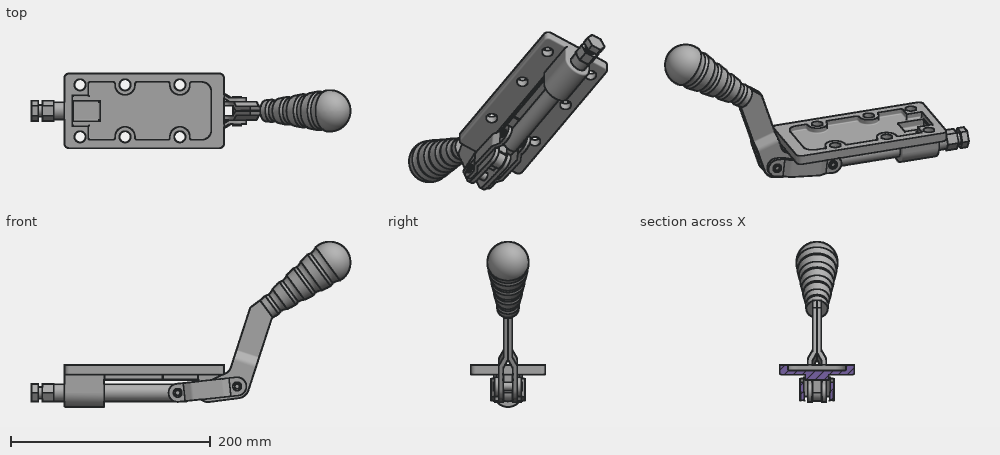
import cadquery as cq
import math


SELECT_MARGIN = 0.1

PLATE_LENGTH = 160.0
PLATE_WIDTH = 75.0
PLATE_THICKNESS = 10.0
PLATE_TOP = 28.0
PLATE_BOTTOM = PLATE_TOP - PLATE_THICKNESS
PLATE_CORNER = 5.0
BODY_ROUND = 1.8

HOLE_DIAMETER = 11.0
HOLE_XS = (15.8, 60.8, 115.7)
HOLE_Y = 26.0

POCKET_DEPTH = 5.6
POCKET_START = 24.0
POCKET_END = 147.2
POCKET_HALF_WIDTH = 29.0
POCKET_FAR_CORNER = 10.0
POCKET_CORNER = 2.0
POCKET_FLOOR_ROUND = 1.2
NECK_START = 8.0
NECK_HALF_WIDTH = 15.5
BOSS_RADIUS = 10.0
BOSS_XS = HOLE_XS[1:]

WELL_START = NECK_START
WELL_END = 35.8
WELL_HALF_WIDTH = 10.3
WELL_DEPTH = 7.5
WELL_FLOOR_ROUND = 1.8

HOUSING_LENGTH = 40.0
HOUSING_RADIUS = 14.3
HOUSING_REAR_ROUND = 1.0

RIB_HALF_WIDTH = 12.0
RIB_DEPTH = 5.3
RIB_BEVEL = 0.7
RIB_XS = (HOUSING_LENGTH, 98.5, 134.3)

PLUNGER_RADIUS = 8.7
PLUNGER_START = -10.5
PLUNGER_END = 122.0
HEX_SIDES = 6
HEX_FLATS = 17.8
HEX_CORNERS = HEX_FLATS / math.cos(math.pi / HEX_SIDES)
NUT_LENGTH = 11.3
THREAD_RADIUS = 6.0
BOLT_END = -32.9
BOLT_HEAD_LENGTH = 7.0

PLUNGER_PIVOT = (113.5, 0.0)
LUG_PIVOT = (143.8, 0.3)
LEVER_PIVOT = (173.0, 6.4)

LUG_HALF_WIDTH = 4.5
LUG_END = 158.0
LUG_NOSE_RADIUS = 8.5
LUG_PIN_RADIUS = 4.0

SHAFT_ANGLE = 72.0
LEVER_HALF_WIDTH = 12.0
LEVER_LUG_RADIUS = 9.7
TOE_ANGLE = 26.0
CHEEK_OUTER = 9.3
CHEEK_THICKNESS = 4.4
CHEEK_INNER = CHEEK_OUTER - CHEEK_THICKNESS
FORK_BEND_START = 25.8
FORK_BEND_END = 34.2
FORK_SLOT_END = 31.5
FORK_START_BEND_RADIUS = 8.0
FORK_END_BEND_RADIUS = 3.0
FORK_SLOT_LEAD = 3.3
SEAM_HALF_GAP = 0.2
LEVER_REACH = 120.0
INNER_CORNER_ROUND = 8.0

GRIP_BASE = (202.3, 83.9)
GRIP_ANGLE = 36.3
GRIP_BASE_RADIUS = 10.8
RING_COUNT = 4
RING_PITCH = 19.5
FIRST_RING_END = 6.8
FIRST_RING_RADIUS = 11.4
RING_RADIUS_STEP = 2.75
RING_LENGTH = 9.7
RING_TAPER = 1.6
RING_SHOULDER_LENGTH = 3.5
RING_SHOULDER_DROP = 1.0
GROOVE_SAG = 0.5
DOME_CENTRE = 78.6
DOME_EDGE = 76.2
DOME_RADIUS = 20.9

LINK_HALF_WIDTH = 9.2
LINK_THICKNESS = 4.0
LINK_INNER = 9.2
LINK_OFFSET = 4.0
LINK_JOGS = ((6.5, 14.2), (46.3, 52.6))
LINK_BEND_RADIUS = 5.0

PIN_RADIUS = 4.3
PIN_SOCKET_RADIUS = 2.5
PIN_SOCKET_DEPTH = 1.5
PIN_PROTRUSION_FRONT = 1.8
PIN_PROTRUSION_BACK = 0.9


def box(x_range, y_range, z_range):
    size = [end - start for start, end in (x_range, y_range, z_range)]
    corner = (x_range[0], y_range[0], z_range[0])
    return cq.Workplane("XY").box(*size, centered=False).translate(corner)


def cylinder_along_y(centre, radius, start, end):
    """Cylinder along Y around a centre (X, Z), from one Y to another."""
    base = cq.Workplane("XZ", origin=(0, start, 0)).center(*centre).circle(radius)
    return base.extrude(start - end)


def along(origin, angle, distance, offset=0.0):
    """Point (X, Z) at a distance along a direction and an offset to its left."""
    a = math.radians(angle)
    x = origin[0] + distance * math.cos(a) - offset * math.sin(a)
    z = origin[1] + distance * math.sin(a) + offset * math.cos(a)
    return (x, z)


def angle_between(start, end):
    return math.degrees(math.atan2(end[1] - start[1], end[0] - start[0]))


def crossing(p, p_angle, q, q_angle):
    """Crossing point of two lines, each given by a point and an angle."""
    pa, qa = math.radians(p_angle), math.radians(q_angle)
    t = ((q[0] - p[0]) * math.sin(qa) - (q[1] - p[1]) * math.cos(qa)) / math.sin(qa - pa)
    return along(p, p_angle, t)


def place(shape, pivot, angle):
    """Tilt a shape drawn along +X upward by an angle and move its origin to a pivot."""
    shape = shape.rotate((0, 0, 0), (0, 1, 0), -angle)
    return shape.translate((pivot[0], 0, pivot[1]))


def mirrored_bar(half_outline, half_height):
    """Bar along X whose half outline of (X, Y) points is mirrored about Y = 0."""
    outline = half_outline + [(x, -y) for x, y in reversed(half_outline)]
    return cq.Workplane("XY").polyline(outline).close().extrude(half_height, both=True)


def edges_at(shape, x):
    """Edges along Z whose centre lies at a given X."""
    reach = PLATE_WIDTH
    slab = cq.selectors.BoxSelector((x - SELECT_MARGIN, -reach, -reach), (x + SELECT_MARGIN, reach, reach))
    return shape.edges("|Z").edges(slab)


def make_pocket():
    floor = PLATE_TOP - POCKET_DEPTH
    y, neck_y = POCKET_HALF_WIDTH, NECK_HALF_WIDTH
    pocket = box((POCKET_START, POCKET_END), (-y, y), (floor, PLATE_TOP))
    pocket = pocket.union(box((NECK_START, POCKET_START), (-neck_y, neck_y), (floor, PLATE_TOP)))
    boss_points = [(x, side * HOLE_Y) for x in BOSS_XS for side in (-1, 1)]
    bosses = cq.Workplane("XY").workplane(offset=floor).pushPoints(boss_points)
    pocket = pocket.cut(bosses.circle(BOSS_RADIUS).extrude(POCKET_DEPTH))
    side_corners = pocket.faces(">Y or <Y").edges("|Z").edges("not >X")
    pocket = side_corners.fillet(POCKET_CORNER)
    pocket = pocket.edges("|Z and >X").fillet(POCKET_FAR_CORNER)
    return pocket.faces("<Z").edges().fillet(POCKET_FLOOR_ROUND)


def make_well():
    top = PLATE_TOP - POCKET_DEPTH
    y = WELL_HALF_WIDTH
    well = box((WELL_START, WELL_END), (-y, y), (top - WELL_DEPTH, top))
    return well.faces("<Z").edges("not <X").fillet(WELL_FLOOR_ROUND)


def make_body():
    half = PLATE_WIDTH / 2
    plate = box((0, PLATE_LENGTH), (-half, half), (PLATE_BOTTOM, PLATE_TOP))
    plate = plate.edges("|Z").fillet(PLATE_CORNER)
    housing = cq.Workplane("YZ").circle(HOUSING_RADIUS).extrude(HOUSING_LENGTH)
    r = HOUSING_RADIUS
    housing = housing.union(box((0, HOUSING_LENGTH), (-r, r), (0, PLATE_TOP - POCKET_DEPTH)))
    housing = housing.faces(">X").edges("not >Z").fillet(HOUSING_REAR_ROUND)
    body = plate.union(housing)
    body = body.faces("<X").edges("not >Z").fillet(BODY_ROUND)
    for start, end in zip(RIB_XS, RIB_XS[1:]):
        rib = box((start, end), (-RIB_HALF_WIDTH, RIB_HALF_WIDTH), (PLATE_BOTTOM - RIB_DEPTH, PLATE_BOTTOM))
        body = body.union(rib.edges("<Z or |Z").chamfer(RIB_BEVEL))
    lug = box((RIB_XS[-1], LUG_END), (-LUG_HALF_WIDTH, LUG_HALF_WIDTH), (LUG_PIVOT[1], PLATE_BOTTOM))
    nose = cylinder_along_y(LUG_PIVOT, LUG_NOSE_RADIUS, -LUG_HALF_WIDTH, LUG_HALF_WIDTH)
    body = body.union(lug).union(nose)
    body = body.cut(make_pocket()).cut(make_well())
    hole_points = [(x, side * HOLE_Y) for x in HOLE_XS for side in (-1, 1)]
    holes = cq.Workplane("XY").workplane(offset=PLATE_BOTTOM).pushPoints(hole_points)
    return body.cut(holes.circle(HOLE_DIAMETER / 2).extrude(PLATE_THICKNESS))


def hex_bar(start, length):
    bar = cq.Workplane("YZ").workplane(offset=start)
    return bar.polygon(HEX_SIDES, HEX_CORNERS).extrude(length)


def make_plunger():
    plunger = cq.Workplane("YZ").workplane(offset=PLUNGER_START).circle(PLUNGER_RADIUS)
    plunger = plunger.extrude(PLUNGER_END - PLUNGER_START)
    thread = cq.Workplane("YZ").workplane(offset=BOLT_END).circle(THREAD_RADIUS)
    plunger = plunger.union(thread.extrude(PLUNGER_START - BOLT_END))
    plunger = plunger.union(hex_bar(PLUNGER_START - NUT_LENGTH, NUT_LENGTH))
    return plunger.union(hex_bar(BOLT_END, BOLT_HEAD_LENGTH))


def make_lever():
    w = LEVER_HALF_WIDTH
    foot_angle = angle_between(LUG_PIVOT, LEVER_PIVOT)
    shaft_left = along(LEVER_PIVOT, SHAFT_ANGLE, 0, w)
    shaft_right = along(LEVER_PIVOT, SHAFT_ANGLE, 0, -w)
    grip_left = along(GRIP_BASE, GRIP_ANGLE, 0, GRIP_BASE_RADIUS)
    grip_right = along(GRIP_BASE, GRIP_ANGLE, 0, -GRIP_BASE_RADIUS)
    bend_left = crossing(shaft_left, SHAFT_ANGLE, grip_left, GRIP_ANGLE)
    bend_right = crossing(shaft_right, SHAFT_ANGLE, grip_right, GRIP_ANGLE)
    top_tangent = along(LUG_PIVOT, TOE_ANGLE, 0, LEVER_LUG_RADIUS)
    inner_corner = crossing(shaft_left, SHAFT_ANGLE, top_tangent, TOE_ANGLE)
    outline = (
        cq.Workplane("XZ")
        .moveTo(*top_tangent)
        .threePointArc(
            along(LUG_PIVOT, (TOE_ANGLE + foot_angle) / 2, -LEVER_LUG_RADIUS),
            along(LUG_PIVOT, foot_angle, 0, -LEVER_LUG_RADIUS),
        )
        .lineTo(*along(LEVER_PIVOT, foot_angle, 0, -w))
        .threePointArc(along(LEVER_PIVOT, (foot_angle + SHAFT_ANGLE) / 2, 0, -w), shaft_right)
        .lineTo(*bend_right)
        .lineTo(*grip_right)
        .lineTo(*grip_left)
        .lineTo(*bend_left)
        .lineTo(*inner_corner)
        .close()
    )
    lever = outline.extrude(CHEEK_OUTER, both=True)
    corner = cq.selectors.NearestToPointSelector((inner_corner[0], 0, inner_corner[1]))
    lever = lever.edges("|Y").edges(corner).fillet(INNER_CORNER_ROUND)
    return lever.intersect(fork_section())


def fork_section():
    """Y-shaped section of the lever, swept square to the side of the shaft."""
    heel = -LEVER_REACH
    outer = [
        (heel, CHEEK_OUTER),
        (FORK_BEND_START, CHEEK_OUTER),
        (FORK_BEND_END, CHEEK_THICKNESS),
        (LEVER_REACH, CHEEK_THICKNESS),
    ]
    inner = [
        (heel, CHEEK_INNER),
        (FORK_BEND_START - FORK_SLOT_LEAD, CHEEK_INNER),
        (FORK_SLOT_END, SEAM_HALF_GAP),
        (LEVER_REACH, SEAM_HALF_GAP),
    ]
    solid = mirrored_bar(outer, LEVER_REACH)
    solid = edges_at(solid, FORK_BEND_START).fillet(FORK_START_BEND_RADIUS)
    solid = edges_at(solid, FORK_BEND_END).fillet(FORK_END_BEND_RADIUS)
    section = solid.cut(mirrored_bar(inner, LEVER_REACH))
    return place(section, LEVER_PIVOT, SHAFT_ANGLE)


def make_grip():
    """Grip drawn along +X with the axis on X, then tilted onto the lever."""
    dome_edge_radius = math.sqrt(DOME_RADIUS**2 - (DOME_CENTRE - DOME_EDGE) ** 2)
    profile = cq.Workplane("XZ").moveTo(0, 0).lineTo(0, GRIP_BASE_RADIUS)
    for ring in range(RING_COUNT):
        end = FIRST_RING_END + ring * RING_PITCH
        radius = FIRST_RING_RADIUS + ring * RING_RADIUS_STEP
        last_ring = ring == RING_COUNT - 1
        next_start = DOME_EDGE if last_ring else end + RING_PITCH - RING_LENGTH
        next_radius = dome_edge_radius if last_ring else radius + RING_RADIUS_STEP - RING_TAPER
        foot = (end + RING_SHOULDER_LENGTH, radius - RING_SHOULDER_DROP)
        middle = ((foot[0] + next_start) / 2, (foot[1] + next_radius) / 2 - GROOVE_SAG)
        profile = profile.lineTo(end, radius).lineTo(*foot).threePointArc(middle, (next_start, next_radius))
    diagonal = DOME_RADIUS * math.sqrt(0.5)
    profile = profile.threePointArc((DOME_CENTRE + diagonal, diagonal), (DOME_CENTRE + DOME_RADIUS, 0))
    grip = profile.close().revolve(360, (0, 0, 0), (1, 0, 0))
    return place(grip, GRIP_BASE, GRIP_ANGLE)


def make_link(side):
    """Jogged link drawn along +X from the plunger pivot; side is +1 or -1 in Y."""
    span = math.dist(PLUNGER_PIVOT, LEVER_PIVOT)
    (out_start, out_end), (in_start, in_end) = LINK_JOGS
    near = LINK_INNER
    far = LINK_INNER + LINK_OFFSET
    path = [
        (-LINK_HALF_WIDTH, near),
        (out_start, near),
        (out_end, far),
        (in_start, far),
        (in_end, near),
        (span + LINK_HALF_WIDTH, near),
    ]
    outer = [(x, y + LINK_THICKNESS) for x, y in reversed(path)]
    strip = cq.Workplane("XY").polyline([(x, side * y) for x, y in path + outer]).close()
    strip = strip.extrude(LINK_HALF_WIDTH, both=True)
    outer_face = ">Y" if side > 0 else "<Y"
    strip = strip.faces(outer_face).edges("|Z").fillet(LINK_BEND_RADIUS)
    outline = cq.Workplane("XZ").center(span / 2, 0)
    outline = outline.slot2D(span + 2 * LINK_HALF_WIDTH, 2 * LINK_HALF_WIDTH)
    link = strip.intersect(outline.extrude(PLATE_WIDTH, both=True))
    return place(link, PLUNGER_PIVOT, angle_between(PLUNGER_PIVOT, LEVER_PIVOT))


def make_link_pin(pivot):
    cheek = LINK_INNER + LINK_THICKNESS
    front = -cheek - PIN_PROTRUSION_FRONT
    back = cheek + PIN_PROTRUSION_BACK
    pin = cylinder_along_y(pivot, PIN_RADIUS, front, back)
    pin = pin.cut(cylinder_along_y(pivot, PIN_SOCKET_RADIUS, front, front + PIN_SOCKET_DEPTH))
    return pin.cut(cylinder_along_y(pivot, PIN_SOCKET_RADIUS, back - PIN_SOCKET_DEPTH, back))


result = make_body().union(make_plunger()).union(make_lever()).union(make_grip())
result = result.union(cylinder_along_y(LUG_PIVOT, LUG_PIN_RADIUS, -CHEEK_OUTER, CHEEK_OUTER))
for link_side in (-1, 1):
    result = result.union(make_link(link_side))
for link_pivot in (PLUNGER_PIVOT, LEVER_PIVOT):
    result = result.union(make_link_pin(link_pivot))